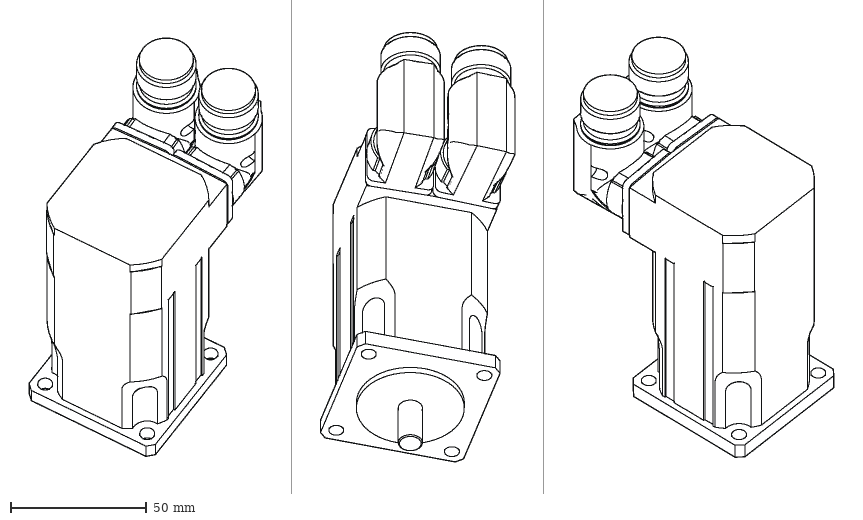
import cadquery as cq
import math


PILOT_Z = 17.5
FLANGE_Z = 20.0
BODY_Z = 26.1
RELIEF_TOP_Z = 55.9
HEAD_Z = 96.3
CAP_Z = 121.3
MOTOR_TOP_Z = 125.3

SHAFT_DIAMETER = 9.0
SHAFT_CHAMFER = 0.5
PILOT_DIAMETER = 40.0
FLANGE_SIZE = 55.0
FLANGE_CORNER = 2.5
BOLT_OFFSET = 22.2
BOLT_HOLE_DIAMETER = 5.5

BODY_SIZE = 50.0
BODY_HALF = BODY_SIZE / 2
BODY_CORNER_RADIUS = 30.0
RELIEF_RADIUS = 28.2
RELIEF_BLEND_HEIGHT = 7.2
BOLT_CHANNEL_RADIUS = 6.0
BOLT_CHANNEL_HEIGHT = 18.6
GROOVE_WIDTH = 4.5
GROOVE_DEPTH = 0.6
GROOVE_OFFSET = 9.5

HEAD_BACK_Y = 29.2
HEAD_CHAMFER = 8.2
GABLE_ANGLE = 2.0
GABLE_SLOPE = math.tan(math.radians(GABLE_ANGLE))
GABLE_RIDGE_Y = HEAD_BACK_Y + BODY_HALF * GABLE_SLOPE


PLATE_WIDTH = 25.2
PLATE_HEIGHT = 26.0
PLATE_THICKNESS = 3.0
PLATE_CORNER_RADIUS = 2.4
SOCKET_RADIUS = PLATE_HEIGHT / 2
SOCKET_Z = HEAD_Z + SOCKET_RADIUS
SOCKET_LENGTH = 7.3
NOTCH_TOP_X = 7.3
NOTCH_ROOT_X = 8.0
NOTCH_ROOT_Z = 9.4
NOTCH_SHELF_X = 9.5
NOTCH_SHELF_Z = 7.7
NECK_RADIUS = 11.9

PLUG_Y = 19.0
ELBOW_TOP_Z = 132.3
ELBOW_RADIUS = 12.5
ELBOW_FRONT_RADIUS = 12.4
KEEL_REACH = SOCKET_RADIUS
KEEL_HALF_WIDTH = 5.7
UPRIGHT_KEEL_ROOT = 9.5
LEVEL_KEEL_ROOT = 9.2
ELBOW_BACK_Y = PLUG_Y + KEEL_REACH
SEAM_Y = PLUG_Y - 0.9
SEAM_Z = 109.7
SEAM_FOOT_Y = 9.4
SEAM_FOOT_Z = 99.1
DIMPLE_RADIUS = 2.7
DIMPLE_X = 11.6
DIMPLE_Y = 14.3
DIMPLE_Z = 118.9

CONNECTOR_TOP_Z = 149.0
PLUG_CORE_RADIUS = 20.0 / 2
PLUG_RING_RADIUS = 22.0 / 2
RING_FOOT_RADIUS = 10.6
RING_LOW_Z = 133.0
RING_HIGH_Z = 133.7
RING_SLOPE_Z = 134.7
SLEEVE_FOOT_Z = 138.0
SLEEVE_LOW_Z = 138.7
SLEEVE_HIGH_Z = 146.0
SLEEVE_SLOPE_Z = 147.0

SOCKET_CLEARANCE = 0.03
CONNECTOR_X = (
    SOCKET_RADIUS * math.cos(math.radians(GABLE_ANGLE))
    - PLATE_THICKNESS * math.sin(math.radians(GABLE_ANGLE))
    + SOCKET_CLEARANCE
)
CONNECTOR_Y = GABLE_RIDGE_Y - CONNECTOR_X * GABLE_SLOPE


def cylinder(radius, bottom, top):
    return cq.Workplane("XY").workplane(offset=bottom).circle(radius).extrude(top - bottom)


def block(x_range, y_range, z_range):
    size = [high - low for low, high in (x_range, y_range, z_range)]
    corner = (x_range[0], y_range[0], z_range[0])
    return cq.Workplane("XY").box(*size, centered=False).translate(corner)


def square_block(size, bottom, top):
    return cq.Workplane("XY").workplane(offset=bottom).rect(size, size).extrude(top - bottom)


def along_y(y_start, x_center=0.0, z_center=0.0):
    """Workplane whose extrusions run in +Y, with its local x and y along -X and +Z."""
    return cq.Workplane(cq.Plane(origin=(x_center, y_start, z_center), xDir=(-1, 0, 0), normal=(0, 1, 0)))


def corner_places(offset):
    return [(sx * offset, sy * offset) for sx in (-1, 1) for sy in (-1, 1)]


def motor_flange():
    flange = square_block(FLANGE_SIZE, FLANGE_Z, BODY_Z).edges("|Z").chamfer(FLANGE_CORNER)
    holes = (
        cq.Workplane("XY").workplane(offset=FLANGE_Z)
        .pushPoints(corner_places(BOLT_OFFSET))
        .circle(BOLT_HOLE_DIAMETER / 2)
        .extrude(BODY_Z - FLANGE_Z)
    )
    pilot = cylinder(PILOT_DIAMETER / 2, PILOT_Z, FLANGE_Z)
    shaft = cylinder(SHAFT_DIAMETER / 2, 0, PILOT_Z).faces("<Z").chamfer(SHAFT_CHAMFER)
    return flange.cut(holes).union(pilot).union(shaft)


def relieved_round():
    """Round envelope of the body: a smaller radius at the foot that flares out in an arc."""
    blend_start_z = RELIEF_TOP_Z - RELIEF_BLEND_HEIGHT
    flare = BODY_CORNER_RADIUS - RELIEF_RADIUS
    blend_radius = (RELIEF_BLEND_HEIGHT**2 + flare**2) / (2 * flare)
    half_angle = math.asin(RELIEF_BLEND_HEIGHT / blend_radius) / 2
    arc_middle = (
        RELIEF_RADIUS + blend_radius * (1 - math.cos(half_angle)),
        blend_start_z + blend_radius * math.sin(half_angle),
    )
    return (
        cq.Workplane("XZ")
        .moveTo(0, BODY_Z)
        .lineTo(RELIEF_RADIUS, BODY_Z)
        .lineTo(RELIEF_RADIUS, blend_start_z)
        .threePointArc(arc_middle, (BODY_CORNER_RADIUS, RELIEF_TOP_Z))
        .lineTo(BODY_CORNER_RADIUS, HEAD_Z)
        .lineTo(0, HEAD_Z)
        .close()
        .revolve(360, (0, 0, 0), (0, 1, 0))
    )


def bolt_channel(x, y):
    """Round-ended clearance above one bolt hole."""
    end_z = BODY_Z + BOLT_CHANNEL_HEIGHT
    channel = cylinder(BOLT_CHANNEL_RADIUS, BODY_Z, end_z)
    dome = cq.Workplane("XY").sphere(BOLT_CHANNEL_RADIUS).translate((0, 0, end_z))
    return channel.union(dome).translate((x, y, 0))


def motor_body():
    body = square_block(BODY_SIZE, BODY_Z, HEAD_Z).intersect(relieved_round())
    for x, y in corner_places(BOLT_OFFSET):
        body = body.cut(bolt_channel(x, y))
    for side_x in (-BODY_HALF, BODY_HALF):
        for groove_y in (-GROOVE_OFFSET, GROOVE_OFFSET):
            groove = block(
                (side_x - GROOVE_DEPTH, side_x + GROOVE_DEPTH),
                (groove_y - GROOVE_WIDTH / 2, groove_y + GROOVE_WIDTH / 2),
                (BODY_Z, HEAD_Z),
            )
            body = body.cut(groove)
    return body


def motor_head():
    head = (
        cq.Workplane("XY").workplane(offset=HEAD_Z)
        .moveTo(-BODY_HALF, -BODY_HALF)
        .lineTo(BODY_HALF, -BODY_HALF)
        .lineTo(BODY_HALF, HEAD_BACK_Y)
        .lineTo(0, GABLE_RIDGE_Y)
        .lineTo(-BODY_HALF, HEAD_BACK_Y)
        .close()
        .extrude(CAP_Z - HEAD_Z)
    )
    head = head.edges("|Z and <Y").chamfer(HEAD_CHAMFER)
    cap = square_block(BODY_SIZE, CAP_Z, MOTOR_TOP_Z)
    return head.union(cap.intersect(cylinder(BODY_CORNER_RADIUS, CAP_Z, MOTOR_TOP_Z)))


def make_motor():
    return motor_flange().union(motor_body()).union(motor_head())


def keeled_outline(workplane, radius, root):
    """Circle whose lower part runs through two straight flanks to a flat keel."""
    root_x = math.sqrt(radius**2 - root**2)
    return (
        workplane
        .moveTo(-root_x, -root)
        .threePointArc((0, radius), (root_x, -root))
        .lineTo(KEEL_HALF_WIDTH, -KEEL_REACH)
        .lineTo(-KEEL_HALF_WIDTH, -KEEL_REACH)
        .close()
    )


def base_plate():
    plate = along_y(0, z_center=SOCKET_Z).rect(PLATE_WIDTH, PLATE_HEIGHT).extrude(PLATE_THICKNESS)
    return plate.edges("|Y").fillet(PLATE_CORNER_RADIUS)


def socket():
    """Round socket with a stepped notch at each of its four corners."""
    workplane = along_y(PLATE_THICKNESS, z_center=SOCKET_Z)
    body = workplane.circle(SOCKET_RADIUS).extrude(SOCKET_LENGTH)
    for sx in (-1, 1):
        for sz in (-1, 1):
            notch = (
                workplane
                .moveTo(sx * NOTCH_ROOT_X, sz * NOTCH_ROOT_Z)
                .lineTo(sx * NOTCH_TOP_X, sz * math.sqrt(SOCKET_RADIUS**2 - NOTCH_TOP_X**2))
                .lineTo(sx * SOCKET_RADIUS, sz * SOCKET_RADIUS)
                .lineTo(sx * SOCKET_RADIUS, sz * NOTCH_SHELF_Z)
                .lineTo(sx * NOTCH_SHELF_X, sz * NOTCH_SHELF_Z)
                .close()
                .extrude(SOCKET_LENGTH)
            )
            body = body.cut(notch)
    return body


def elbow_shell():
    """Outer half of the elbow: an upright and a level keeled bar meeting in a mitre."""
    upright_plane = cq.Plane(origin=(0, PLUG_Y, HEAD_Z), xDir=(-1, 0, 0), normal=(0, 0, 1))
    upright = keeled_outline(cq.Workplane(upright_plane), ELBOW_RADIUS, UPRIGHT_KEEL_ROOT)
    upright = upright.extrude(ELBOW_TOP_Z - HEAD_Z)

    level = keeled_outline(along_y(PLATE_THICKNESS, z_center=SOCKET_Z), SOCKET_RADIUS, LEVEL_KEEL_ROOT)
    level = level.extrude(ELBOW_BACK_Y - PLATE_THICKNESS)

    x_range = (-SOCKET_RADIUS, SOCKET_RADIUS)
    upper_space = block(x_range, (PLATE_THICKNESS, ELBOW_BACK_Y), (SOCKET_Z, ELBOW_TOP_Z))
    foot_space = block(x_range, (PLATE_THICKNESS, SEAM_Y), (HEAD_Z, SEAM_FOOT_Z))
    outer_space = (
        cq.Workplane("YZ")
        .moveTo(SEAM_Y, ELBOW_TOP_Z)
        .lineTo(SEAM_Y, SEAM_Z)
        .lineTo(SEAM_FOOT_Y, SEAM_FOOT_Z)
        .lineTo(SEAM_FOOT_Y, HEAD_Z)
        .lineTo(ELBOW_BACK_Y, HEAD_Z)
        .lineTo(ELBOW_BACK_Y, ELBOW_TOP_Z)
        .close()
        .extrude(SOCKET_RADIUS, both=True)
    )
    mitre = upright.intersect(level.union(upper_space)).intersect(outer_space)
    return mitre.union(level.intersect(foot_space))


def elbow_front():
    """Inner half of the elbow: an upright round and the level neck, with a dimple each side."""
    upright = cylinder(ELBOW_FRONT_RADIUS, SOCKET_Z, ELBOW_TOP_Z).translate((0, PLUG_Y, 0))
    neck = along_y(PLATE_THICKNESS, z_center=SOCKET_Z).circle(NECK_RADIUS).extrude(PLUG_Y - PLATE_THICKNESS)
    front = upright.union(neck)
    for x in (-DIMPLE_X, DIMPLE_X):
        dimple = along_y(DIMPLE_Y, x, DIMPLE_Z).circle(DIMPLE_RADIUS).extrude(SEAM_Y - DIMPLE_Y)
        dimple_end = cq.Workplane("XY").sphere(DIMPLE_RADIUS).translate((x, DIMPLE_Y, DIMPLE_Z))
        front = front.cut(dimple).cut(dimple_end)
    return front


def plug():
    outline = [
        (0, ELBOW_TOP_Z),
        (RING_FOOT_RADIUS, ELBOW_TOP_Z),
        (RING_FOOT_RADIUS, RING_LOW_Z),
        (PLUG_RING_RADIUS, RING_LOW_Z),
        (PLUG_RING_RADIUS, RING_HIGH_Z),
        (PLUG_CORE_RADIUS, RING_SLOPE_Z),
        (PLUG_CORE_RADIUS, SLEEVE_FOOT_Z),
        (PLUG_RING_RADIUS, SLEEVE_LOW_Z),
        (PLUG_RING_RADIUS, SLEEVE_HIGH_Z),
        (PLUG_CORE_RADIUS, SLEEVE_SLOPE_Z),
        (PLUG_CORE_RADIUS, CONNECTOR_TOP_Z),
        (0, CONNECTOR_TOP_Z),
    ]
    turned = cq.Workplane("XZ").polyline(outline).close().revolve(360, (0, 0, 0), (0, 1, 0))
    return turned.translate((0, PLUG_Y, 0))


def make_connector(side):
    """Angled connector on the +X slope (side = 1) or its mirror image on the -X slope (side = -1)."""
    connector = elbow_front().union(elbow_shell()).union(socket()).union(base_plate()).union(plug())
    connector = connector.rotate((0, 0, 0), (0, 0, 1), -GABLE_ANGLE)
    connector = connector.translate((CONNECTOR_X, CONNECTOR_Y, 0))
    if side < 0:
        connector = connector.mirror("YZ")
    return connector


motor = make_motor()
connectors = [make_connector(side) for side in (-1, 1)]

result = cq.Compound.makeCompound([motor.val(), *[connector.val() for connector in connectors]])